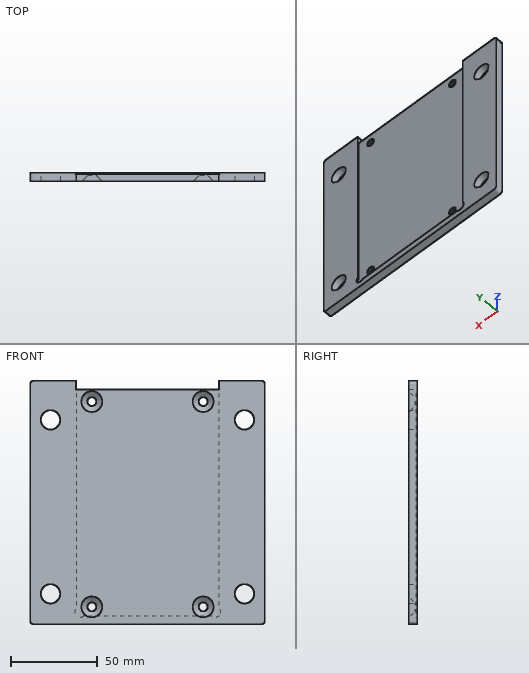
import cadquery as cq
import math

width = 135.0
thickness = 5.0
height = 140.0
corner_radius = 2.0

notch_width = 82.0
notch_depth = 5.0

pocket_depth = 1.0
pocket_bottom_margin = 5.0
pocket_height = height - notch_depth - pocket_bottom_margin

relief_radius = 3.0
relief_inset = relief_radius / math.sqrt(2)

mount_diameter = 11.0
mount_spacing_x = 111.5
mount_spacing_z = 100.0
mount_bottom_margin = 17.5

screw_diameter = 5.0
countersink_diameter = 12.0
countersink_angle = 90.0
screw_spacing_x = 64.0
screw_spacing_z = 118.0
screw_bottom_margin = 10.0


def hole_centres(spacing_x, spacing_z, bottom_margin):
    """Four centres, symmetric in X, the lower pair a margin above the bottom edge."""
    lower = bottom_margin - height / 2
    upper = lower + spacing_z
    return [(side * spacing_x / 2, z) for side in (-1, 1) for z in (lower, upper)]


def make_plate():
    plate = cq.Workplane("XY").box(width, thickness, height)
    return plate.edges("|Y").fillet(corner_radius)


def cut_notch(plate):
    notch = (
        cq.Workplane("XY")
        .box(notch_width, thickness, notch_depth)
        .translate((0, 0, (height - notch_depth) / 2))
    )
    return plate.cut(notch)


def cut_pocket(plate):
    pocket_centre_y = (thickness - pocket_depth) / 2
    pocket_centre_z = (pocket_bottom_margin - notch_depth) / 2
    pocket = (
        cq.Workplane("XY")
        .box(notch_width, pocket_depth, pocket_height)
        .translate((0, pocket_centre_y, pocket_centre_z))
    )
    return plate.cut(pocket)


def cut_corner_reliefs(plate):
    """Reliefs centred on the corner diagonals, each passing through its pocket corner."""
    centre_x = notch_width / 2 - relief_inset
    centre_z = pocket_bottom_margin + relief_inset - height / 2
    reliefs = (
        cq.Workplane("XZ", origin=(0, thickness / 2, 0))
        .pushPoints([(-centre_x, centre_z), (centre_x, centre_z)])
        .circle(relief_radius)
        .extrude(pocket_depth)
    )
    return plate.cut(reliefs)


def front_face(plate):
    """Workplane on the front face, local axes along +X and +Z."""
    return plate.faces("<Y").workplane(origin=(0, -thickness / 2, 0))


def drill_mount_holes(plate):
    centres = hole_centres(mount_spacing_x, mount_spacing_z, mount_bottom_margin)
    return front_face(plate).pushPoints(centres).hole(mount_diameter)


def drill_screw_holes(plate):
    centres = hole_centres(screw_spacing_x, screw_spacing_z, screw_bottom_margin)
    return (
        front_face(plate)
        .pushPoints(centres)
        .cskHole(screw_diameter, countersink_diameter, countersink_angle)
    )


plate = make_plate()
plate = cut_notch(plate)
plate = cut_pocket(plate)
plate = cut_corner_reliefs(plate)
plate = drill_mount_holes(plate)
result = drill_screw_holes(plate)